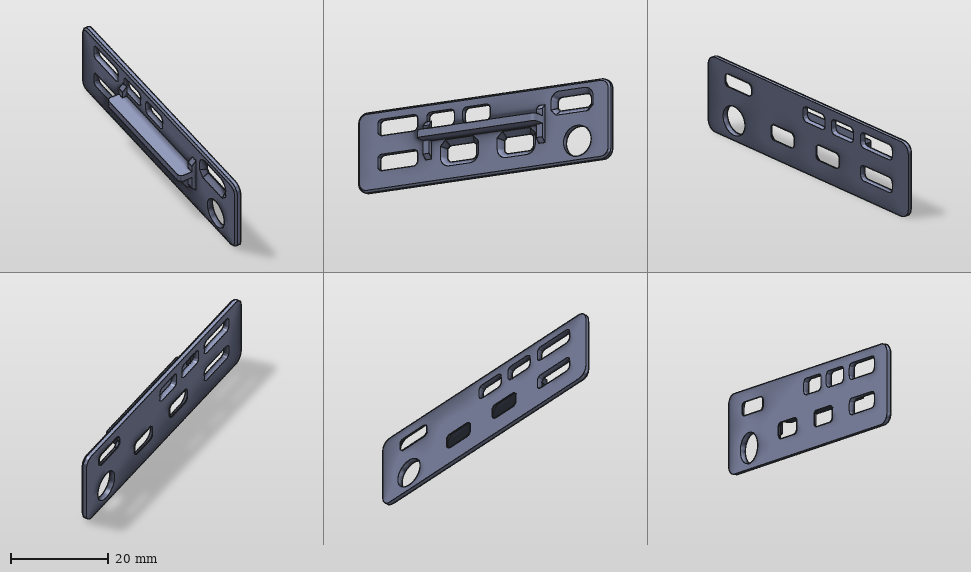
import cadquery as cq

plate_length = 60.0
plate_height = 17.0
plate_thickness = 1.25
corner_radius = 2.15
edge_chamfer = 0.4

total_depth = 5.2
shelf_length = 28.4
shelf_center_x = 0.35
shelf_thickness = 1.6
shelf_center_z = 1.25
shelf_corner_radius = 1.0
rib_width = 1.45
rib_height = 1.0
rib_top = 4.6
rib_bottom = -3.4

slot_height = 3.5
slot_corner_radius = 1.0
long_slot_length = 9.5
short_slot_length = 6.55
upper_row_z = 4.85
lower_row_z = -2.6
long_slot_x = -20.45
short_slot_xs = (-10.25, -1.75)

flare = 1.1
window_bevel = 0.6
window_radius = 1.0
lower_window_length = 6.9
lower_window_xs = (-5.75, 7.75)
upper_window_length = 7.9
upper_window_height = 2.9
upper_window_x = 21.0
upper_window_z = 4.55

hole_diameter = 6.55
hole_x = 22.25
hole_z = -4.0

front_face_y = -plate_thickness
rib_face_y = front_face_y - rib_height


def block(length, depth, height, x, front_y, z):
    """Box centred on x and z whose front face lies at front_y."""
    return (
        cq.Workplane("XY")
        .box(length, depth, height, centered=(True, False, True))
        .translate((x, front_y, z))
    )


def make_plate():
    plate = block(plate_length, plate_thickness, plate_height, 0, front_face_y, 0)
    return plate.edges("|Y").fillet(corner_radius).faces("<Y").chamfer(edge_chamfer)


def make_rib(x):
    """Rib with 45 degree ends, extruded across its width."""
    return (
        cq.Workplane("YZ", origin=(x - rib_width / 2, 0, 0))
        .moveTo(front_face_y, rib_top)
        .lineTo(rib_face_y, rib_top - rib_height)
        .lineTo(rib_face_y, rib_bottom + rib_height)
        .lineTo(front_face_y, rib_bottom)
        .close()
        .extrude(rib_width)
    )


def make_shelf():
    depth = total_depth - plate_thickness
    shelf = block(shelf_length, depth, shelf_thickness, shelf_center_x, -total_depth, shelf_center_z)
    return shelf.faces("<Y").edges("|Z").fillet(shelf_corner_radius)


def make_slot(length, x, z):
    slot = block(length, plate_thickness, slot_height, x, front_face_y, z)
    return slot.edges("|Y").fillet(slot_corner_radius)


def make_window(length, height, x, z, rounded_side, bevelled_side):
    """Straight opening with two rounded and two bevelled corners."""
    window = block(length, plate_thickness, height, x, front_face_y, z)
    window = window.faces(rounded_side).edges("|Y").fillet(window_radius)
    return window.faces(bevelled_side).edges("|Y").chamfer(window_bevel)


def cut_windows(plate):
    """Cut the windows and flare their front rims; they must be the plate's only openings so far."""
    for x in lower_window_xs:
        plate = plate.cut(make_window(lower_window_length, slot_height, x, lower_row_z, "<Z", ">Z"))
    plate = plate.cut(
        make_window(upper_window_length, upper_window_height, upper_window_x, upper_window_z, ">Z", "<Z")
    )
    rims = plate.faces("<Y").val().innerWires()
    return plate.newObject(rims).edges().chamfer(flare)


def make_round_hole():
    return (
        cq.Workplane("XZ", origin=(hole_x, 0, hole_z))
        .circle(hole_diameter / 2)
        .extrude(plate_thickness)
    )


result = cut_windows(make_plate())

for row_z in (upper_row_z, lower_row_z):
    result = result.cut(make_slot(long_slot_length, long_slot_x, row_z))
for slot_x in short_slot_xs:
    result = result.cut(make_slot(short_slot_length, slot_x, upper_row_z))
result = result.cut(make_round_hole())

rib_offset = (shelf_length - rib_width) / 2
for side in (-1, 1):
    result = result.union(make_rib(shelf_center_x + side * rib_offset))
result = result.union(make_shelf())